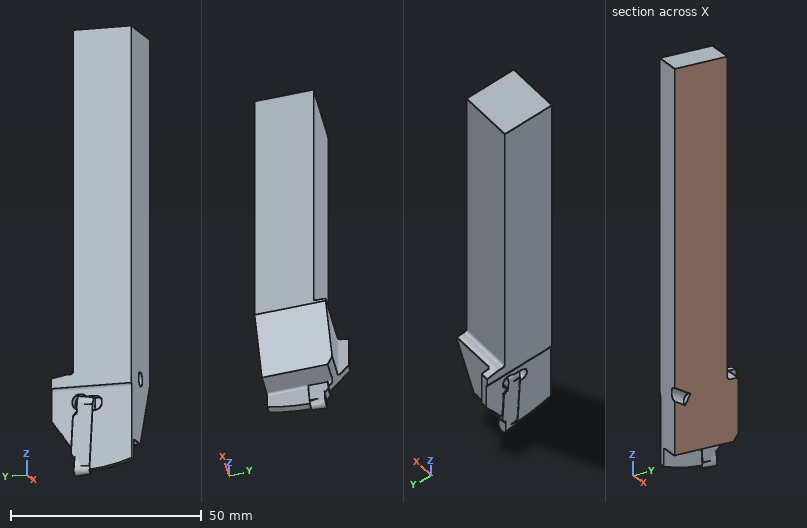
import cadquery as cq
import math


length = 120.2
shank_side = 16.0
head_depth = 19.2
blade_depth = 22.0
shoulder_top = 27.3
shoulder_flat_end = 18.0
shoulder_fillet = 0.8
blade_top = 26.6
blade_slope_start = 14.8
slope_end_y = 12.3
slope_end_z = 1.3
nose_front = (0.0, 3.6)
nose_middle = (5.4, 2.2)
head_taper_top = 26.2
head_bottom = 9.0
head_bottom_width = 8.0
blade_right = 2.3
corner_fillet = 0.7

relief_depth = 0.42
relief_radius = 1.0
relief_top = 23.8

hole_diameter = 3.2
hole_z = 26.6
hole_tilt = 30.0
hole_length = 4.6

insert_length = 21.6
insert_tilt = 3.0
rake_tip_y = 15.9
nose_width = 3.0
nose_radius = nose_width / 2
nose_overhang = 0.1
insert_centre_x = nose_radius - nose_overhang
nose_length = 2.5
nose_depth = 4.2
flank_slope = 0.12
body_width = 2.5
body_half_width = body_width / 2
land_end = 4.3
rise_end = 5.8
rise_height = 1.1
flare_length = 2.5

recess_floor = 3.0
tip_relief_y = 14.2
tip_relief_z = 19.7
tip_relief_radius = 2.2
seat_relief_y = 10.1
seat_relief_z = 19.2
seat_relief_radius = 1.9
slot_bottom = 18.8

overcut = 1.2


def side_profile():
    """Outline of the holder in the YZ plane, extruded over the full width."""
    return (
        cq.Workplane("YZ")
        .moveTo(0, length)
        .lineTo(shank_side, length)
        .lineTo(shank_side, shoulder_top + shoulder_fillet)
        .radiusArc((shank_side + shoulder_fillet, shoulder_top), -shoulder_fillet)
        .lineTo(shoulder_flat_end, shoulder_top)
        .lineTo(blade_depth, blade_top)
        .lineTo(blade_depth, blade_slope_start)
        .lineTo(slope_end_y, slope_end_z)
        .threePointArc(nose_middle, nose_front)
        .close()
        .extrude(shank_side)
    )


def front_profile():
    """Outline of the holder in the XZ plane, extruded over the full depth."""
    return (
        cq.Workplane("XZ")
        .moveTo(0, 0)
        .lineTo(0, length)
        .lineTo(shank_side, length)
        .lineTo(shank_side, head_taper_top)
        .lineTo(head_bottom_width, head_bottom)
        .lineTo(blade_right + corner_fillet, head_bottom)
        .radiusArc((blade_right, head_bottom - corner_fillet), -corner_fillet)
        .lineTo(blade_right, 0)
        .close()
        .extrude(-blade_depth)
    )


def blade_step():
    """Material removed beside the blade, behind the full-width head."""
    return (
        cq.Workplane("XY")
        .moveTo(blade_right, blade_depth + overcut)
        .lineTo(blade_right, head_depth + corner_fillet)
        .radiusArc((blade_right + corner_fillet, head_depth), -corner_fillet)
        .lineTo(shank_side + overcut, head_depth)
        .lineTo(shank_side + overcut, blade_depth + overcut)
        .close()
        .extrude(shoulder_top + overcut)
    )


def side_relief():
    """Shallow grind of the -X face that runs out upwards on an arc."""
    run_out = math.sqrt(2 * relief_radius * relief_depth - relief_depth**2)
    return (
        cq.Workplane("XZ")
        .moveTo(0, relief_top)
        .radiusArc((relief_depth, relief_top - run_out), relief_radius)
        .lineTo(relief_depth, -overcut)
        .lineTo(-overcut, -overcut)
        .lineTo(-overcut, relief_top)
        .close()
        .extrude(-(blade_depth + overcut))
    )


def coolant_hole():
    """Flat-ended hole that slants down from the -Y face."""
    tilt = math.radians(hole_tilt)
    axis = cq.Vector(0, math.cos(tilt), -math.sin(tilt))
    start = cq.Vector(shank_side / 2, 0, hole_z) - axis * hole_diameter
    return cq.Solid.makeCylinder(hole_diameter / 2, hole_length + hole_diameter, start, axis)


def insert_recess():
    """Round reliefs at the insert's upper tip and seat corner, joined by a slot."""
    tip_relief = cq.Workplane("YZ").center(tip_relief_y, tip_relief_z).circle(tip_relief_radius)
    seat_relief = cq.Workplane("YZ").center(seat_relief_y, seat_relief_z).circle(seat_relief_radius)
    slot = (
        cq.Workplane("YZ")
        .moveTo(seat_relief_y, slot_bottom)
        .lineTo(seat_relief_y, seat_relief_z + seat_relief_radius)
        .lineTo(tip_relief_y, seat_relief_z + seat_relief_radius)
        .lineTo(tip_relief_y, slot_bottom)
        .close()
    )
    return (
        tip_relief.extrude(recess_floor)
        .union(seat_relief.extrude(recess_floor))
        .union(slot.extrude(recess_floor))
    )


def insert_body():
    """Long middle of the insert, raised between the two rake lands."""
    return (
        cq.Workplane("YZ")
        .moveTo(0, nose_length)
        .lineTo(0, land_end)
        .lineTo(rise_height, rise_end)
        .lineTo(rise_height, insert_length - rise_end)
        .lineTo(0, insert_length - land_end)
        .lineTo(0, insert_length - nose_length)
        .lineTo(-nose_depth, insert_length - nose_length)
        .lineTo(-nose_depth, nose_length)
        .close()
        .extrude(body_half_width, both=True)
    )


def nose_outline(plane, radius):
    """Round-ended outline of the nose with its flat end on the insert body."""
    return (
        plane.moveTo(-radius, nose_length)
        .lineTo(-radius, nose_radius)
        .threePointArc((0, nose_radius - radius), (radius, nose_radius))
        .lineTo(radius, nose_length)
        .close()
    )


def insert_nose():
    """Full-radius cutting nose at the lower end, narrowing away from the rake face."""
    rake = nose_outline(cq.Workplane("XZ"), nose_radius)
    back_radius = nose_radius - flank_slope * nose_depth
    return nose_outline(rake.workplane(offset=nose_depth), back_radius).loft(ruled=True, combine=True)


def nose_flare(side):
    """Three-sided ramp from the body's side face out to the edge of the nose."""
    flare_depth = (nose_radius - body_half_width) / flank_slope
    body_x = side * body_half_width
    base = cq.Vector(body_x, 0, nose_length)
    deep = cq.Vector(body_x, -flare_depth, nose_length)
    far = cq.Vector(body_x, 0, nose_length + flare_length)
    edge = cq.Vector(side * nose_radius, 0, nose_length)
    corners = [(base, deep, far), (base, deep, edge), (base, far, edge), (deep, far, edge)]
    faces = [cq.Face.makeFromWires(cq.Wire.makePolygon(c, close=True)) for c in corners]
    return cq.Solid.makeSolid(cq.Shell.makeShell(faces))


def make_insert():
    lower_end = insert_nose()
    for side in (-1, 1):
        lower_end = lower_end.union(cq.Workplane(nose_flare(side)))
    upper_end = lower_end.mirror("XY", (0, 0, insert_length / 2))
    insert = insert_body().union(lower_end).union(upper_end)
    return insert.rotate((0, 0, 0), (1, 0, 0), insert_tilt).translate((insert_centre_x, rake_tip_y, 0))


def make_holder(insert):
    return (
        side_profile()
        .intersect(front_profile())
        .cut(blade_step())
        .cut(side_relief())
        .cut(cq.Workplane(coolant_hole()))
        .cut(insert_recess())
        .cut(insert)
    )


insert = make_insert()
holder = make_holder(insert)
result = cq.Compound.makeCompound([holder.val(), insert.val()])